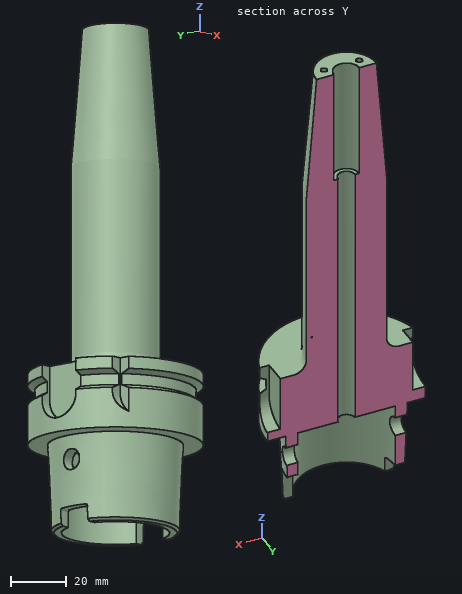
import cadquery as cq
import math

TOTAL_HEIGHT = 184.4
SHANK_HEIGHT = 32.0
FLANGE_HEIGHT = 26.0
FLANGE_TOP = SHANK_HEIGHT + FLANGE_HEIGHT
NOSE_LENGTH = 50.7

FLANGE_RADIUS = 31.5
SHANK_TOP_RADIUS = 24.3
SHANK_BOTTOM_RADIUS = 23.0
SHANK_CHAMFER = 1.0
NECK_RADIUS = 16.0
NECK_FILLET = 5.0
NOSE_TIP_RADIUS = 12.0

GROOVE_TOP = 53.7
GROOVE_BOTTOM = 46.7
GROOVE_RADIUS = 29.0
GROOVE_SIDE_ANGLE = 30.0
GROOVE_SIDE = (FLANGE_RADIUS - GROOVE_RADIUS) * math.tan(math.radians(GROOVE_SIDE_ANGLE))

BORE_DIAMETER = 10.0
BORE_DEPTH = 46.1
THROUGH_DIAMETER = 6.6

COOLANT_COUNT = 3
COOLANT_DIAMETER = 2.4
COOLANT_CIRCLE_RADIUS = 8.1
COOLANT_START_ANGLE = 90.0
COOLANT_DEPTH = 46.1

KEYWAY_FLAT = 26.4
KEYWAY_END_CENTRE = 45.4
LEFT_KEYWAY_WIDTH = 16.2
RIGHT_KEYWAY_WIDTH = 18.5

NOTCH_EDGE = 20.1
NOTCH_END_RADIUS = 8.7

CAVITY_RADIUS = 19.4
CAVITY_DEPTH = SHANK_HEIGHT
CROSS_HOLE_DIAMETER = 7.5
CROSS_HOLE_HEIGHT = 23.2
DRIVE_SLOT_WIDTH = 12.7
LEFT_DRIVE_SLOT_HEIGHT = 6.3
RIGHT_DRIVE_SLOT_HEIGHT = 14.0
DRIVE_SLOT_FILLET = 1.0


def turned_body():
    """Shank, grooved flange, neck and tapered nose revolved about Z."""
    return (
        cq.Workplane("XZ")
        .moveTo(0, 0)
        .lineTo(SHANK_BOTTOM_RADIUS - SHANK_CHAMFER, 0)
        .lineTo(SHANK_BOTTOM_RADIUS, SHANK_CHAMFER)
        .lineTo(SHANK_TOP_RADIUS, SHANK_HEIGHT)
        .lineTo(FLANGE_RADIUS, SHANK_HEIGHT)
        .lineTo(FLANGE_RADIUS, GROOVE_BOTTOM)
        .lineTo(GROOVE_RADIUS, GROOVE_BOTTOM + GROOVE_SIDE)
        .lineTo(GROOVE_RADIUS, GROOVE_TOP - GROOVE_SIDE)
        .lineTo(FLANGE_RADIUS, GROOVE_TOP)
        .lineTo(FLANGE_RADIUS, FLANGE_TOP)
        .lineTo(NECK_RADIUS + NECK_FILLET, FLANGE_TOP)
        .radiusArc((NECK_RADIUS, FLANGE_TOP + NECK_FILLET), NECK_FILLET)
        .lineTo(NECK_RADIUS, TOTAL_HEIGHT - NOSE_LENGTH)
        .lineTo(NOSE_TIP_RADIUS, TOTAL_HEIGHT)
        .lineTo(0, TOTAL_HEIGHT)
        .close()
        .revolve(360, (0, 0, 0), (0, 1, 0))
    )


def top_holes():
    """Stepped centre bore and the coolant holes around it, all from the nose tip."""
    tip = cq.Workplane("XY").workplane(offset=TOTAL_HEIGHT)
    bore = tip.circle(BORE_DIAMETER / 2).extrude(-BORE_DEPTH)
    through = tip.circle(THROUGH_DIAMETER / 2).extrude(-TOTAL_HEIGHT)
    coolant = (
        tip.polarArray(COOLANT_CIRCLE_RADIUS, COOLANT_START_ANGLE, 360, COOLANT_COUNT)
        .circle(COOLANT_DIAMETER / 2)
        .extrude(-COOLANT_DEPTH)
    )
    return bore.union(through).union(coolant)


def round_ended_slot(centre_y, width, start_x, length):
    """Cutter along X from start_x, outward by length: open at the flange top, round at its lower end."""
    half_width = width / 2
    return (
        cq.Workplane("YZ")
        .workplane(offset=start_x)
        .moveTo(centre_y - half_width, FLANGE_TOP)
        .lineTo(centre_y - half_width, KEYWAY_END_CENTRE)
        .threePointArc(
            (centre_y, KEYWAY_END_CENTRE - half_width),
            (centre_y + half_width, KEYWAY_END_CENTRE),
        )
        .lineTo(centre_y + half_width, FLANGE_TOP)
        .close()
        .extrude(length)
    )


def flange_cuts():
    """Two opposite keyways and the index notch."""
    left = round_ended_slot(0, LEFT_KEYWAY_WIDTH, -KEYWAY_FLAT, -FLANGE_RADIUS)
    right = round_ended_slot(0, RIGHT_KEYWAY_WIDTH, KEYWAY_FLAT, FLANGE_RADIUS)
    notch = round_ended_slot(
        -NOTCH_EDGE - NOTCH_END_RADIUS, 2 * NOTCH_END_RADIUS, -NOTCH_EDGE, -FLANGE_RADIUS
    )
    return left.union(right).union(notch)


def drive_slot(side, height):
    """Slot across the bottom of one shank wall; side is -1 for -X and 1 for +X."""
    return (
        cq.Workplane("XY")
        .box(FLANGE_RADIUS, DRIVE_SLOT_WIDTH, 2 * height)
        .edges("|X")
        .fillet(DRIVE_SLOT_FILLET)
        .translate((side * FLANGE_RADIUS / 2, 0, 0))
    )


def shank_cuts():
    """Hollow inside of the shank, cross hole through both walls, and a drive slot in each."""
    cavity = cq.Workplane("XY").circle(CAVITY_RADIUS).extrude(CAVITY_DEPTH)
    cross_hole = (
        cq.Workplane("YZ")
        .center(0, CROSS_HOLE_HEIGHT)
        .circle(CROSS_HOLE_DIAMETER / 2)
        .extrude(FLANGE_RADIUS, both=True)
    )
    left_slot = drive_slot(-1, LEFT_DRIVE_SLOT_HEIGHT)
    right_slot = drive_slot(1, RIGHT_DRIVE_SLOT_HEIGHT)
    return cavity.union(cross_hole).union(left_slot).union(right_slot)


result = turned_body().cut(top_holes()).cut(flange_cuts()).cut(shank_cuts())